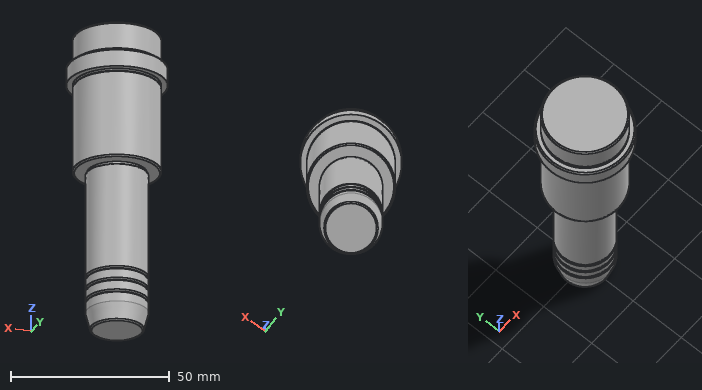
import cadquery as cq
import math

total_height = 100.0
edge_chamfer = 0.5

shank_radius = 10.0
tip_height = 6.0
tip_angle = 15.0

neck_radius = 9.5
neck_height = 1.0

body_radius = 14.0
body_bottom = 54.0
collar_radius = 16.0
collar_bottom = 84.0
collar_top = 90.0

groove_width = 1.0
groove_depth = 0.5
shank_groove_count = 3
shank_groove_pitch = 4.0
first_shank_groove = 9.5

profile_plane = cq.Plane(origin=(0, 0, 0), xDir=(-1, 0, 0), normal=(0, 1, 0))


def revolve_profile(profile):
    """Turn a closed half profile into a solid around the Z axis."""
    return profile.revolve(360, (0, 0, 0), (0, 1, 0))


def make_pin():
    """Stepped pin without its grooves."""
    cone_height = tip_height - edge_chamfer
    cone_end_radius = shank_radius - cone_height * math.tan(math.radians(tip_angle))
    outline = (
        cq.Workplane(profile_plane)
        .moveTo(0, 0)
        .lineTo(cone_end_radius - edge_chamfer, 0)
        .lineTo(cone_end_radius, edge_chamfer)
        .lineTo(shank_radius, tip_height)
        .lineTo(shank_radius, body_bottom - neck_height)
        .lineTo(neck_radius, body_bottom - neck_height)
        .lineTo(neck_radius, body_bottom)
        .lineTo(body_radius - edge_chamfer, body_bottom)
        .lineTo(body_radius, body_bottom + edge_chamfer)
        .lineTo(body_radius, collar_bottom)
        .lineTo(collar_radius, collar_bottom)
        .lineTo(collar_radius, collar_top - edge_chamfer)
        .lineTo(collar_radius - edge_chamfer, collar_top)
        .lineTo(body_radius, collar_top)
        .lineTo(body_radius, total_height - edge_chamfer)
        .lineTo(body_radius - edge_chamfer, total_height)
        .lineTo(0, total_height)
        .close()
    )
    return revolve_profile(outline)


def make_groove(surface_radius, height):
    """Ring of V section that cuts into a cylinder, centred on the given height."""
    outline = (
        cq.Workplane(profile_plane)
        .moveTo(surface_radius, height - groove_width / 2)
        .lineTo(surface_radius - groove_depth, height)
        .lineTo(surface_radius, height + groove_width / 2)
        .close()
    )
    return revolve_profile(outline)


result = make_pin()

for groove_index in range(shank_groove_count):
    groove_height = first_shank_groove + groove_index * shank_groove_pitch
    result = result.cut(make_groove(shank_radius, groove_height))

for groove_height in (collar_bottom - groove_width / 2, collar_top + groove_width / 2):
    result = result.cut(make_groove(body_radius, groove_height))